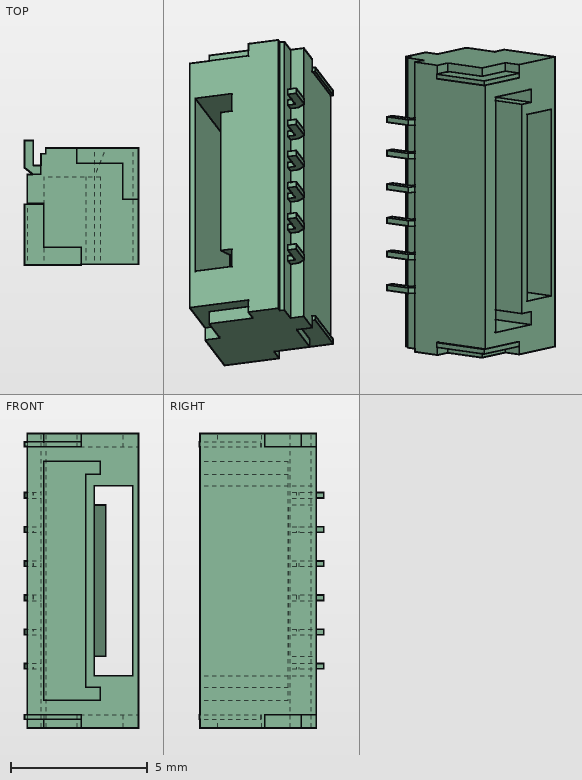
import cadquery as cq
import math


height = 10.76
mid_z = height / 2
housing_left = 0.1
housing_right = 4.16
housing_front = 0.02
housing_rear = 4.28
step_left = 0.6
step_y = 3.31
corner_left = 0.77
corner_y = 4.07

recess_left = 0.7
recess_right = 2.24
recess_end_right = 2.77
recess_half_height = 4.37
recess_end_height = 0.48
recess_floor_y = 3.23

window_left = 2.55
window_right = 3.95
window_height = 6.93
latch_reach = 0.42
latch_height = 5.53
ramp_angle = 68.0

pocket_depth = 0.48
front_pocket_x = 0.7
front_pocket_end_x = 2.07
front_pocket_y = 0.66
front_pocket_end_y = 2.26
rear_pocket_x = 3.59
rear_pocket_end_x = 1.92
rear_pocket_y = 3.72
rear_pocket_end_y = 2.4

clip_thickness = 0.17
clip_end_y = 2.23

lead_count = 6
lead_pitch = 1.25
lead_width = 0.2
lead_thickness = 0.32
lead_tip_y = 4.55
lead_bevel_x = 0.3
lead_bevel_y = 0.24


def prism(outline, z_from, z_to):
    """Extrude a closed XY outline between two Z levels."""
    return cq.Workplane("XY").workplane(offset=z_from).polyline(outline).close().extrude(z_to - z_from)


def box(x_range, y_range, z_range):
    """Axis-aligned block given by its limits."""
    sizes = [high - low for low, high in (x_range, y_range, z_range)]
    corner = (x_range[0], y_range[0], z_range[0])
    return cq.Workplane("XY").box(*sizes, centered=False).translate(corner)


def corner_outline(outer_x, outer_y, inner_x, inner_y, end_x, end_y):
    """L-shaped outline that wraps a corner of the housing."""
    return [
        (outer_x, outer_y),
        (end_x, outer_y),
        (end_x, inner_y),
        (inner_x, inner_y),
        (inner_x, end_y),
        (outer_x, end_y),
    ]


def centred(span):
    """Z limits of a span centred on the housing."""
    return mid_z - span / 2, mid_z + span / 2


def make_housing():
    outline = [
        (housing_left, housing_front),
        (housing_right, housing_front),
        (housing_right, housing_rear),
        (corner_left, housing_rear),
        (corner_left, corner_y),
        (step_left, corner_y),
        (step_left, step_y),
        (housing_left, step_y),
    ]
    return prism(outline, 0, height)


def make_recess():
    """C-shaped slot: a tall channel whose two ends reach further right."""
    depth_range = (housing_front, recess_floor_y)
    z_low = mid_z - recess_half_height
    z_high = mid_z + recess_half_height
    recess = box((recess_left, recess_right), depth_range, (z_low, z_high))
    for z_start in (z_low, z_high - recess_end_height):
        end = box((recess_left, recess_end_right), depth_range, (z_start, z_start + recess_end_height))
        recess = recess.union(end)
    return recess


def make_window():
    return box((window_left, window_right), (housing_front, housing_rear), centred(window_height))


def make_latch():
    """Wedge on the left window wall whose ramp rises toward the rear face."""
    ramp_length = latch_reach * math.tan(math.radians(ramp_angle))
    outline = [
        (window_left, housing_rear - ramp_length),
        (window_left + latch_reach, housing_rear),
        (window_left, housing_rear),
    ]
    return prism(outline, *centred(latch_height))


def make_lead(z_centre):
    """Lead leaving the rear step and turning along the solder plane."""
    outline = [
        (step_left, step_y),
        (step_left, step_y + lead_thickness),
        (lead_thickness, step_y + lead_thickness),
        (lead_thickness, lead_tip_y),
        (0, lead_tip_y),
        (0, step_y + lead_bevel_y),
        (lead_bevel_x, step_y),
    ]
    return prism(outline, z_centre - lead_width / 2, z_centre + lead_width / 2)


front_pocket = corner_outline(
    housing_left, housing_front, front_pocket_x, front_pocket_y, front_pocket_end_x, front_pocket_end_y
)
rear_pocket = corner_outline(
    housing_right, housing_rear, rear_pocket_x, rear_pocket_y, rear_pocket_end_x, rear_pocket_end_y
)
clip = corner_outline(0, 0, front_pocket_x, front_pocket_y, front_pocket_end_x, clip_end_y)

result = make_housing().cut(make_recess()).cut(make_window()).union(make_latch())

for pocket in (front_pocket, rear_pocket):
    result = result.cut(prism(pocket, 0, pocket_depth))
    result = result.cut(prism(pocket, height - pocket_depth, height))

clip_outer_z = pocket_depth - clip_thickness
result = result.union(prism(clip, clip_outer_z, pocket_depth))
result = result.union(prism(clip, height - pocket_depth, height - clip_outer_z))

for index in range(lead_count):
    lead_z = mid_z + (index - (lead_count - 1) / 2) * lead_pitch
    result = result.union(make_lead(lead_z))